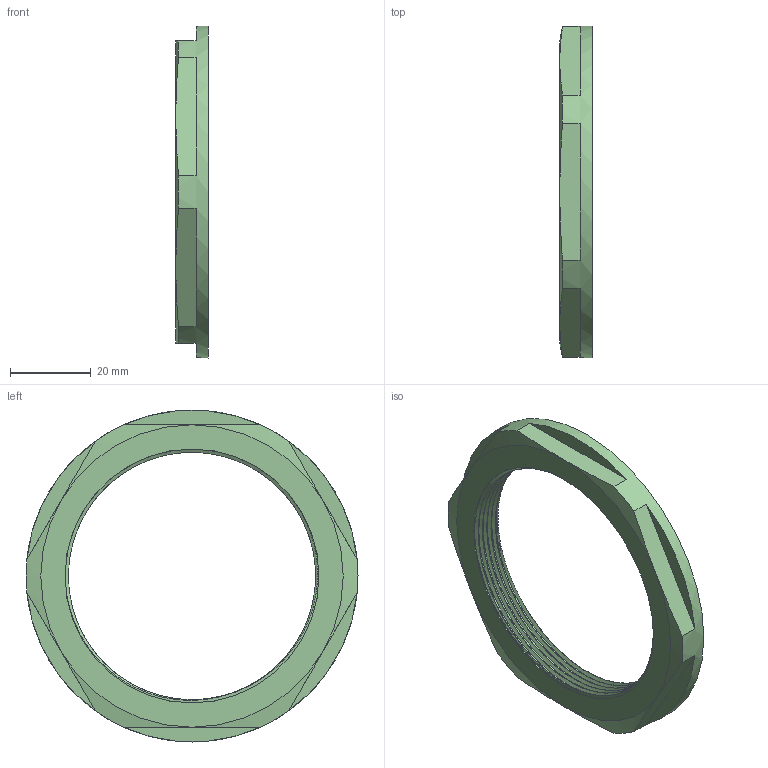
import cadquery as cq
import math

width = 8.01
outer_diameter = 82.35
flange_thickness = 3.0
outer_radius = outer_diameter / 2

across_flats = 75.0
hex_side_count = 6
hex_length = width - flange_thickness

cone_angle = math.radians(10.0)
cone_start_radius = across_flats / 2
cone_depth = (outer_radius - cone_start_radius) * math.tan(cone_angle)

thread_pitch = 1.5
major_radius = 62.98 / 2
minor_radius = 61.4 / 2
thread_half_angle = math.radians(30.0)
crest_half_width = 0.03
thread_start_angle = 277.0
front_inset = 0.25
back_inset = 0.001
thread_overrun = thread_pitch
foot_overlap = 0.1


def make_ring():
    """Turned blank: plain bore, cylindrical rim and the front cone."""
    half_section = (
        cq.Workplane("XY")
        .moveTo(0, major_radius)
        .lineTo(0, cone_start_radius)
        .lineTo(cone_depth, outer_radius)
        .lineTo(width, outer_radius)
        .lineTo(width, major_radius)
        .close()
    )
    return half_section.revolve(360, (0, 0, 0), (1, 0, 0))


def cut_hexagon_flats(body):
    """Mill the flats, leaving the full round flange behind them."""
    flat_depth = outer_radius - cone_start_radius
    cutter = (
        cq.Workplane("XY")
        .box(hex_length, outer_diameter, flat_depth, centered=(False, True, False))
        .translate((0, 0, cone_start_radius))
    )
    for index in range(hex_side_count):
        angle = index * 360 / hex_side_count
        body = body.cut(cutter.rotate((0, 0, 0), (1, 0, 0), angle))
    return body


def make_thread_ridge():
    """Helical V ridge with a flat crest, cut off square near both faces."""
    foot_radius = major_radius + foot_overlap
    foot_half_width = crest_half_width + (foot_radius - minor_radius) * math.tan(thread_half_angle)
    helix = cq.Wire.makeHelix(thread_pitch, width + 2 * thread_overrun, major_radius)
    ridge = (
        cq.Workplane("XZ")
        .moveTo(foot_radius, -foot_half_width)
        .lineTo(minor_radius, -crest_half_width)
        .lineTo(minor_radius, crest_half_width)
        .lineTo(foot_radius, foot_half_width)
        .close()
        .sweep(cq.Workplane(obj=helix), isFrenet=True)
    )
    ridge = ridge.rotate((0, 0, 0), (0, 0, 1), thread_start_angle)
    ridge = ridge.rotate((0, 0, 0), (0, 1, 0), 90)
    ridge = ridge.translate((-thread_overrun, 0, 0))
    trimming_disc = (
        cq.Workplane("YZ", origin=(front_inset, 0, 0))
        .circle(outer_radius)
        .extrude(width - front_inset - back_inset)
    )
    return trimming_disc.intersect(ridge)


result = cut_hexagon_flats(make_ring()).union(make_thread_ridge())